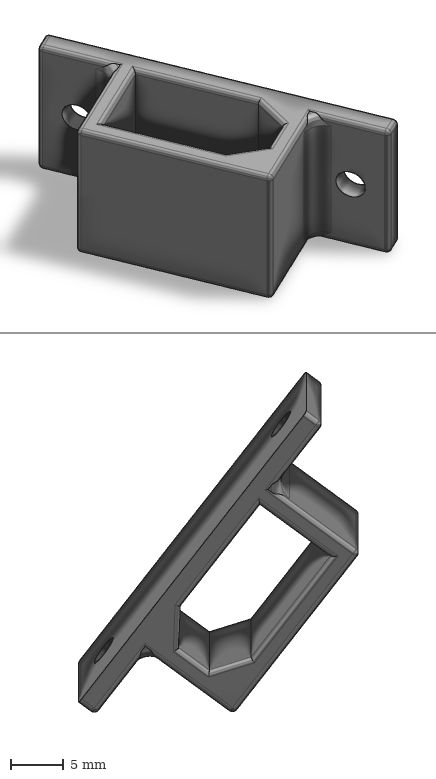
import cadquery as cq
import math

flange_length = 36.0
depth = 12.5
height = 15.0
body_width = 20.0
wall = 2.0
edge_radius = 0.5
corner_radius = 2.0
blend_recess = 0.05
blend_end_radius = 0.97

hole_diameter = 3.0
hole_spacing = 28.0

opening_half_width = body_width / 2 - wall
taper_start = 4.57
nose_width = 3.67

tolerance = 0.05


def centred_block(width, block_depth):
    """Full-height block reaching forward (-Y) from the back plane."""
    return cq.Workplane("XY").box(width, block_depth, height).translate((0, -block_depth / 2, 0))


def round_outer_edges(solid):
    """Round every outer edge except those around the flat back and the inner corners."""
    back_edges = solid.faces(">Y").edges()
    inner_corners = solid.edges(
        cq.selectors.BoxSelector(
            (-body_width / 2 - tolerance, -wall - tolerance, -tolerance),
            (body_width / 2 + tolerance, -wall + tolerance, tolerance),
        )
    )
    kept_sharp = back_edges.vals() + inner_corners.vals()
    rounded = [e for e in solid.edges().vals() if not any(e.isSame(k) for k in kept_sharp)]
    return solid.newObject(rounded).fillet(edge_radius)


def inner_corner_blend():
    """Concave blend between the -X body side and the flange, with rounded ends just below the rims."""
    corner_x = -body_width / 2
    corner_y = -wall
    outer_x = corner_x - corner_radius
    front_y = corner_y - corner_radius
    inner_x = corner_x + wall / 2
    inner_y = corner_y + wall / 2
    arc_reach = corner_radius * (1 - math.sqrt(0.5))
    blend = (
        cq.Workplane("XY")
        .moveTo(outer_x, corner_y)
        .threePointArc((corner_x - arc_reach, corner_y - arc_reach), (corner_x, front_y))
        .lineTo(inner_x, front_y)
        .lineTo(inner_x, inner_y)
        .lineTo(outer_x, inner_y)
        .close()
        .extrude(height - 2 * blend_recess)
        .translate((0, 0, blend_recess - height / 2))
    )
    return blend.edges("%CIRCLE").fillet(blend_end_radius)


def add_inner_corner_blends(solid):
    """Blend both body sides into the flange."""
    blend = inner_corner_blend()
    return solid.union(blend).union(blend.mirror("YZ"))


def cut_opening(solid):
    """Cut the tapered opening through in Z and round both rims."""
    back = -wall
    front = -depth + wall
    middle = (back + front) / 2
    outline = [
        (-opening_half_width, front),
        (taper_start, front),
        (opening_half_width, middle - nose_width / 2),
        (opening_half_width, middle + nose_width / 2),
        (taper_start, back),
        (-opening_half_width, back),
    ]
    cutter = cq.Workplane("XY").polyline(outline).close().extrude(height, both=True)
    solid = solid.cut(cutter)
    rim_selector = cq.selectors.BoxSelector(
        (-opening_half_width - tolerance, front - tolerance, -height),
        (opening_half_width + tolerance, back + tolerance, height),
        boundingbox=True,
    )
    return solid.faces("<Z or >Z").edges(rim_selector).fillet(edge_radius)


def cut_mounting_holes(solid):
    """Drill the two flange holes along Y."""
    drill = (
        cq.Workplane("XZ")
        .pushPoints([(-hole_spacing / 2, 0), (hole_spacing / 2, 0)])
        .circle(hole_diameter / 2)
        .extrude(depth)
    )
    return solid.cut(drill)


bracket = centred_block(flange_length, wall).union(centred_block(body_width, depth))
bracket = round_outer_edges(bracket)
bracket = cut_opening(bracket)
bracket = add_inner_corner_blends(bracket)
result = cut_mounting_holes(bracket)